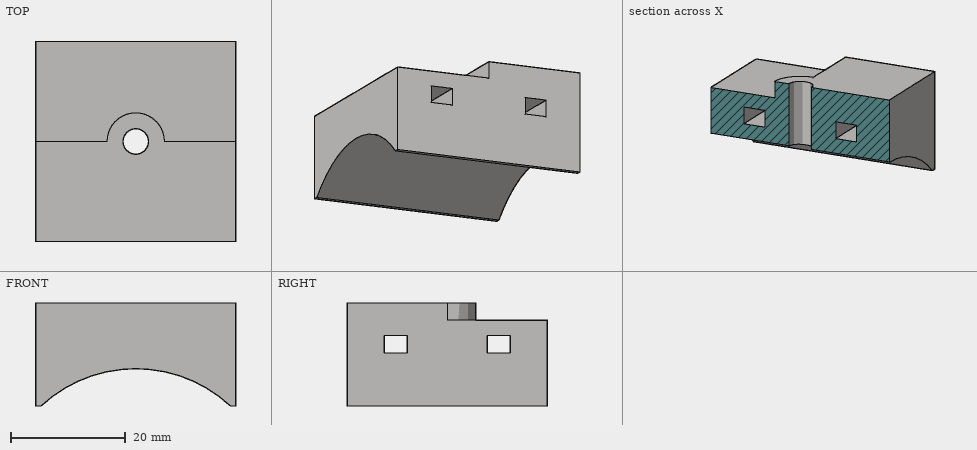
import cadquery as cq

side = 35.0
height = 18.0

step_depth = 3.0
boss_diameter = 10.0
hole_diameter = 4.4

saddle_diameter = 48.5
saddle_rise = 6.5

slot_width = 4.0
slot_height = 3.0
slot_spacing = 18.0
slot_floor = 9.3


def block():
    """Square block standing on Z = 0, centred on the Z axis."""
    return cq.Workplane("XY").box(side, side, height, centered=(True, True, False))


def step_cutter():
    """Material above the lowered half, with the boss left out."""
    step_floor = height - step_depth
    half = (
        cq.Workplane("XY", origin=(0, side / 4, step_floor))
        .box(side, side / 2, step_depth, centered=(True, True, False))
    )
    boss = (
        cq.Workplane("XY", origin=(0, 0, step_floor))
        .circle(boss_diameter / 2)
        .extrude(step_depth)
    )
    return half.cut(boss)


def saddle_cutter():
    """Cylinder along Y whose crown reaches saddle_rise above the base."""
    return (
        cq.Workplane("XZ", origin=(0, 0, saddle_rise - saddle_diameter / 2))
        .circle(saddle_diameter / 2)
        .extrude(side / 2, both=True)
    )


def slot_cutter(y):
    """Rectangular passage along X, centred at the given Y."""
    return (
        cq.Workplane("XY", origin=(0, y, slot_floor))
        .box(side, slot_width, slot_height, centered=(True, True, False))
    )


def hole_cutter():
    """Vertical hole through the boss into the saddle."""
    return cq.Workplane("XY").circle(hole_diameter / 2).extrude(height)


result = block().cut(step_cutter()).cut(saddle_cutter()).cut(hole_cutter())
for slot_y in (-slot_spacing / 2, slot_spacing / 2):
    result = result.cut(slot_cutter(slot_y))